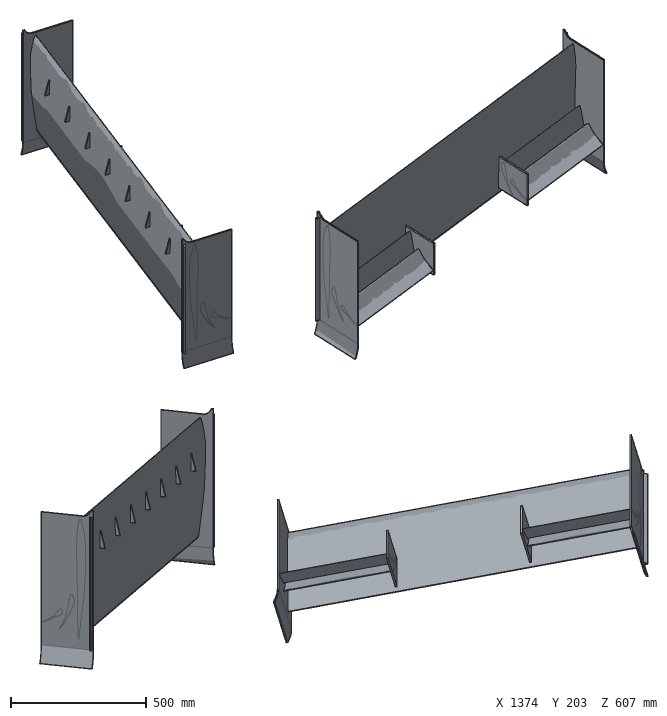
import cadquery as cq
import math

span = 1374.0
depth = 203.0
height = 607.0
half_span = span / 2
front_y = -depth / 2
back_y = depth / 2
bottom_z = -height / 2
fin_top_z = height / 2

flare_reach = 15.0
sheet = 5.0
plate_outer_x = half_span - flare_reach
plate_inner_x = plate_outer_x - sheet
plate_top_z = 279.0
flare_start_z = -235.0

fin_foot = 33.0
fin_tip = 7.0
fin_sag = 3.0

flange_root_y = front_y + 14.0
flange_slope_drop = 8.0

inner_plate_x = 251.0
inner_plate_thickness = 7.0
inner_plate_front_y = -43.0
inner_plate_bottom_z = -172.0
inner_plate_top_z = -14.0

fence_count = 7
fence_pitch = 169.0
fence_thickness = 5.0
fence_front_y = -91.0
fence_tip_y = -74.0
fence_root_y = -62.0
fence_top_z = 176.0
fence_bottom_z = 109.0

main_foil = [
    (-43.0, -198.0), (-40.0, -62.0), (-38.0, 82.0), (-40.0, 220.0), (-51.0, 265.0),
    (-66.0, 220.0), (-73.0, 124.0), (-69.0, 0.0), (-54.0, -130.0), (-45.0, -198.0),
]
middle_foil = [
    (30.0, -164.0), (14.0, -135.0), (3.0, -105.0), (-8.0, -48.0), (-18.0, -26.0),
    (-27.0, -45.0), (-22.0, -77.0), (-7.0, -109.0), (10.0, -139.0), (29.0, -165.0),
]
rear_foil = [
    (back_y, -147.0), (71.0, -130.0), (48.0, -113.0), (23.0, -90.0),
    (18.0, -99.0), (45.0, -121.0), (71.0, -136.0), (back_y, -148.0),
]


def foil(section, start_x, end_x):
    """Foil of constant section with a thin, blunt tail."""
    profile = cq.Workplane("YZ", origin=(start_x, 0, 0)).spline(section).close()
    return profile.extrude(end_x - start_x)


def end_plate():
    """Right-hand end plate with its bottom flare, corner fin and front flange."""
    drop = flare_start_z - bottom_z
    outer_radius = (drop**2 + flare_reach**2) / (2 * flare_reach)
    inner_radius = outer_radius + sheet
    centre_x = plate_outer_x + outer_radius

    def flare_point(radius, depth_below):
        return (centre_x - math.sqrt(radius**2 - depth_below**2), flare_start_z - depth_below)

    panel = (
        cq.Workplane("XZ", origin=(0, back_y, 0))
        .moveTo(plate_inner_x, plate_top_z)
        .lineTo(plate_outer_x, plate_top_z)
        .lineTo(plate_outer_x, flare_start_z)
        .threePointArc(flare_point(outer_radius, drop / 2), (half_span, bottom_z))
        .lineTo(*flare_point(inner_radius, drop))
        .threePointArc(flare_point(inner_radius, drop / 2), (plate_inner_x, flare_start_z))
        .close()
        .extrude(depth)
    )

    fin_middle_y = front_y + (fin_foot + fin_tip) / 2 - fin_sag
    fin_middle_z = (plate_top_z + fin_top_z) / 2 - fin_sag
    fin = (
        cq.Workplane("YZ", origin=(plate_inner_x, 0, 0))
        .moveTo(front_y, plate_top_z)
        .lineTo(front_y, fin_top_z)
        .lineTo(front_y + fin_tip, fin_top_z)
        .threePointArc((fin_middle_y, fin_middle_z), (front_y + fin_foot, plate_top_z))
        .close()
        .extrude(sheet)
    )

    flange = (
        cq.Workplane("XY", origin=(0, 0, flare_start_z))
        .polyline([
            (plate_outer_x, flange_root_y),
            (half_span, flange_root_y - flange_slope_drop),
            (half_span - sheet, front_y),
            (plate_outer_x, flange_root_y - flange_slope_drop),
        ])
        .close()
        .extrude(plate_top_z - flare_start_z)
    )
    return panel.union(fin).union(flange)


def inner_plate():
    """Right-hand inner plate, joining both flaps to the back of the main wing."""
    return cq.Workplane("XY").box(
        inner_plate_thickness,
        back_y - inner_plate_front_y,
        inner_plate_top_z - inner_plate_bottom_z,
        centered=False,
    ).translate((inner_plate_x, inner_plate_front_y, inner_plate_bottom_z))


def fence(x):
    """Triangular fence, pointed at the top, rooted inside the main wing."""
    return (
        cq.Workplane("YZ", origin=(x - fence_thickness / 2, 0, 0))
        .polyline([
            (fence_root_y, fence_top_z),
            (fence_root_y, fence_bottom_z),
            (fence_front_y, fence_bottom_z),
            (fence_tip_y, fence_top_z),
        ])
        .close()
        .extrude(fence_thickness)
    )


right_side = end_plate()
for part in (
    inner_plate(),
    foil(middle_foil, inner_plate_x, plate_outer_x),
    foil(rear_foil, inner_plate_x, plate_outer_x),
):
    right_side = right_side.union(part, clean=False)
left_side = right_side.mirror("YZ")

result = foil(main_foil, -plate_outer_x, plate_outer_x)
for index in range(fence_count):
    result = result.union(fence((index - (fence_count - 1) / 2) * fence_pitch), clean=False)
result = result.union(right_side, clean=False).union(left_side, clean=False)